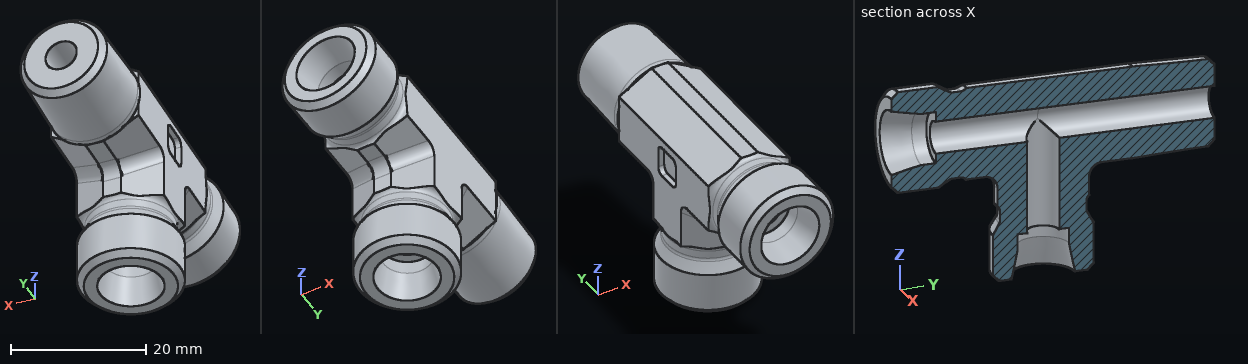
import cadquery as cq
import math


port_reach = 23.95
thread_reach = 27.05

hex_across_flats = 14.0
flats_height = 14.55
flat_half_height = flats_height / 2
valley_radius = 2.0

port_radius = 16.0 / 2
port_chamfer = 1.0
barrel_length = 7.4
shoulder_angle = math.radians(30)
neck_radius = 13.7 / 2
neck_end = 10.95
neck_fillet = 1.0
neck_flare = 1.0
body_reach = port_reach - neck_end

collar_start = 14.0
collar_length = 0.9
collar_radius = flats_height / 2
thread_tip_radius = 13.85 / 2
thread_chamfer = 1.0

bore_radius = 5.0 / 2
tube_radius = 8.0 / 2
socket_mouth_radius = 10.0 / 2
cone_half_angle = math.radians(12)
socket_depth = 7.0

badge_size = 5.1
badge_corner = 1.0
badge_depth = 1.0

tolerance = 0.0005
hex_clearance = 0.5

to_front = 90
to_back = -90
to_bottom = 180
port_turns = (to_front, to_bottom)


def turned(shape, angle):
    """Turn a shape made along +Z about the X axis."""
    return shape.rotate((0, 0, 0), (1, 0, 0), angle)


def spun(profile):
    """Spin a closed radius-height profile about the Z axis."""
    return profile.close().revolve(360, (0, 0, 0), (0, 1, 0))


def flattened_hexagon(workplane):
    """Hexagon with flats at +-X and its other two corners cut flat."""
    side_x = hex_across_flats / 2
    side_y = side_x * math.tan(math.radians(30))
    corner_y = 2 * side_y
    top_x = (corner_y - flat_half_height) * math.tan(math.radians(60))
    points = [
        (side_x, side_y),
        (top_x, flat_half_height),
        (-top_x, flat_half_height),
        (-side_x, side_y),
        (-side_x, -side_y),
        (-top_x, -flat_half_height),
        (top_x, -flat_half_height),
        (side_x, -side_y),
    ]
    return workplane.polyline(points).close()


def is_valley(edge):
    """True for an edge where the run meets the branch (y = +-z, below the axis)."""
    ends = (edge.startPoint(), edge.endPoint())
    return all(p.z < 0 and abs(abs(p.y) - abs(p.z)) < tolerance for p in ends)


def make_body():
    """Run and branch prisms with rounded valleys where they meet."""
    run_plane = cq.Workplane("XZ", origin=(0, collar_start, 0))
    run = flattened_hexagon(run_plane).extrude(collar_start + body_reach)
    branch = flattened_hexagon(cq.Workplane("XY")).extrude(-body_reach)
    body = run.union(branch)
    valleys = [edge for edge in body.edges().vals() if is_valley(edge)]
    return body.newObject(valleys).fillet(valley_radius)


def make_flare_cutter():
    """Ring that leaves a concave flare between the neck and the hexagon."""
    flare_outer = neck_radius + neck_flare
    ring_outer = hex_across_flats / math.sqrt(3) + hex_clearance
    flare_start = body_reach - neck_flare
    arc_offset = neck_flare * math.sqrt(0.5)
    return spun(
        cq.Workplane("XZ")
        .moveTo(neck_radius, body_reach)
        .threePointArc(
            (flare_outer - arc_offset, body_reach - arc_offset),
            (flare_outer, flare_start),
        )
        .lineTo(ring_outer, flare_start)
        .lineTo(ring_outer, body_reach)
    )


def make_port():
    """Neck, rounded into a conical shoulder, and chamfered barrel."""
    barrel_start = port_reach - barrel_length
    shoulder_foot = barrel_start - (port_radius - neck_radius) / math.tan(shoulder_angle)
    fillet_setback = neck_fillet * math.tan(shoulder_angle / 2)
    fillet_end = (
        neck_radius + fillet_setback * math.sin(shoulder_angle),
        shoulder_foot + fillet_setback * math.cos(shoulder_angle),
    )
    return spun(
        cq.Workplane("XZ")
        .moveTo(0, 0)
        .lineTo(neck_radius, 0)
        .lineTo(neck_radius, shoulder_foot - fillet_setback)
        .tangentArcPoint(fillet_end, relative=False)
        .lineTo(port_radius, barrel_start)
        .lineTo(port_radius, port_reach - port_chamfer)
        .lineTo(port_radius - port_chamfer, port_reach)
        .lineTo(0, port_reach)
    )


def make_thread_end():
    """Short collar followed by the chamfered taper."""
    return spun(
        cq.Workplane("XZ")
        .moveTo(0, collar_start)
        .lineTo(collar_radius, collar_start)
        .lineTo(collar_radius, collar_start + collar_length)
        .lineTo(thread_tip_radius, thread_reach - thread_chamfer)
        .lineTo(thread_tip_radius - thread_chamfer, thread_reach)
        .lineTo(0, thread_reach)
    )


def make_port_bore():
    """Tube socket with a conical mouth, stepping down to the through bore."""
    cone_length = (socket_mouth_radius - tube_radius) / math.tan(cone_half_angle)
    return spun(
        cq.Workplane("XZ")
        .moveTo(0, 0)
        .lineTo(bore_radius, 0)
        .lineTo(bore_radius, port_reach - socket_depth)
        .lineTo(tube_radius, port_reach - socket_depth)
        .lineTo(tube_radius, port_reach - cone_length)
        .lineTo(socket_mouth_radius, port_reach)
        .lineTo(0, port_reach)
    )


def make_badge_pocket():
    """Shallow rounded square sunk into the -X flat."""
    badge_plane = cq.Workplane("YZ", origin=(-hex_across_flats / 2, 0, 0))
    pocket = badge_plane.rect(badge_size, badge_size).extrude(badge_depth)
    return pocket.edges("|X").fillet(badge_corner)


result = make_body()
for turn in port_turns:
    result = result.cut(turned(make_flare_cutter(), turn))
for turn in port_turns:
    result = result.union(turned(make_port(), turn))
result = result.union(turned(make_thread_end(), to_back))

for turn in port_turns:
    result = result.cut(turned(make_port_bore(), turn))
thread_bore = cq.Workplane("XY").circle(bore_radius).extrude(thread_reach)
result = result.cut(turned(thread_bore, to_back))
result = result.cut(make_badge_pocket())